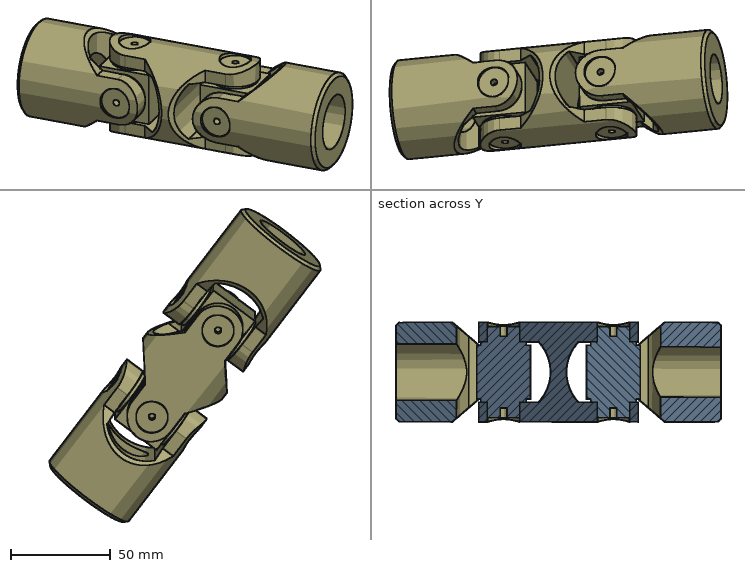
import cadquery as cq
import math


length = 163.0
body_diameter = 50.0
body_radius = body_diameter / 2
pin_spacing = 55.1
pin_x = pin_spacing / 2
hub_length = length / 2 - pin_x
end_chamfer = 1.6
bore_diameter = 25.0
far_bore_diameter = 28.0

ear_width = 25.0
ear_radius = ear_width / 2
ear_straight = 11.1
shoulder_angle = 40.6
fork_gap = 30.2
throat_radius = 22.2
throat_depth = 23.5
pin_hole_diameter = 16.0

block_x = 27.0
block_y = 26.0
block_z = 27.0
collar_diameter = 23.0
pin_reach = 23.0
center_hole_diameter = 3.3
center_hole_depth = 4.9

X_AXIS = ((0, 0, 0), (1, 0, 0))
Z_AXIS = ((0, 0, 0), (0, 0, 1))


def ear_side_solid():
    """Fork seen along its pins: round-ended ear widening through sloped shoulders."""
    shoulder_height = body_radius - ear_radius
    shoulder_end = ear_straight + shoulder_height / math.tan(math.radians(shoulder_angle))
    return (
        cq.Workplane("XZ")
        .moveTo(-length, -body_radius)
        .lineTo(-shoulder_end, -body_radius)
        .lineTo(-ear_straight, -ear_radius)
        .lineTo(0, -ear_radius)
        .threePointArc((ear_radius, 0), (0, ear_radius))
        .lineTo(-ear_straight, ear_radius)
        .lineTo(-shoulder_end, body_radius)
        .lineTo(-length, body_radius)
        .close()
        .extrude(body_radius, both=True)
    )


def fork_gap_solid():
    """Space between the ears: a disc with its sides cut flat, round where it meets the hub."""
    throat_center = throat_radius - throat_depth
    disc = (
        cq.Workplane("XY")
        .center(throat_center, 0)
        .circle(throat_radius)
        .extrude(body_radius, both=True)
    )
    strip = cq.Workplane("XY").rect(length, fork_gap).extrude(body_radius, both=True)
    return disc.intersect(strip)


def pin_holes_solid():
    """Pin holes through both ears."""
    return cq.Workplane("XZ").circle(pin_hole_diameter / 2).extrude(body_radius, both=True)


def shape_fork(body, place):
    """Turn one end of a round body into a fork; place moves a fork solid to that end."""
    body = body.intersect(place(ear_side_solid()))
    body = body.cut(place(fork_gap_solid()))
    return body.cut(place(pin_holes_solid()))


def make_end_yoke(bore):
    """End yoke placed at the -X end, with a bore of the given diameter and ears at +Y and -Y."""
    hub = (
        cq.Workplane("YZ")
        .workplane(offset=-length / 2)
        .circle(body_radius)
        .extrude(hub_length + ear_radius)
        .faces("<X").edges().chamfer(end_chamfer)
        .faces("<X").workplane()
        .circle(bore / 2)
        .cutThruAll()
    )
    return shape_fork(hub, lambda solid: solid.translate((-pin_x, 0, 0)))


def place_center_fork(solid):
    """Turn a fork so that it opens toward -X with its ears at +Z and -Z."""
    return solid.rotate(*X_AXIS, 90).rotate(*Z_AXIS, 180).translate((-pin_x, 0, 0))


def make_center_yoke():
    """Centre yoke, with a fork at each end and its ears at +Z and -Z."""
    half_length = pin_x + ear_radius
    body = cq.Workplane("YZ").circle(body_radius).extrude(half_length, both=True)
    body = shape_fork(body, place_center_fork)
    return shape_fork(body, lambda solid: place_center_fork(solid).rotate(*Z_AXIS, 180))


def make_cross(x):
    """Cross with a block, and pins with collars along both Y and Z."""
    cross = cq.Workplane("XY").box(block_x, block_y, block_z)
    for plane in ("XY", "XZ"):
        collars = cq.Workplane(plane).circle(collar_diameter / 2).extrude(fork_gap / 2, both=True)
        pins = cq.Workplane(plane).circle(pin_hole_diameter / 2).extrude(pin_reach, both=True)
        cross = cross.union(collars).union(pins)
    for face in ("<Y", ">Y", "<Z", ">Z"):
        cross = (
            cross.faces(face).workplane(centerOption="CenterOfMass")
            .hole(center_hole_diameter, center_hole_depth)
        )
    return cross.translate((x, 0, 0))


left_yoke = make_end_yoke(bore_diameter)
right_yoke = make_end_yoke(far_bore_diameter).rotate(*Z_AXIS, 180)
center_yoke = make_center_yoke()
crosses = [make_cross(x) for x in (-pin_x, pin_x)]

result = cq.Compound.makeCompound(
    [left_yoke.val(), right_yoke.val(), center_yoke.val(), *[cross.val() for cross in crosses]]
)